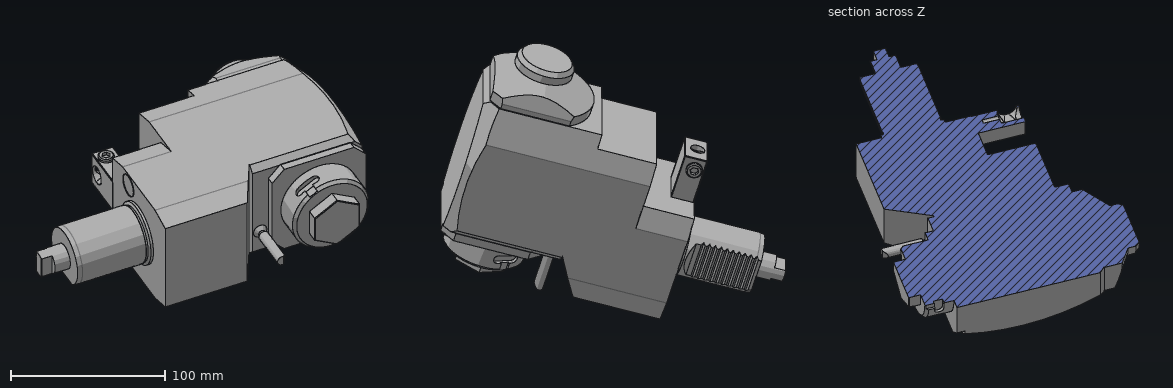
import cadquery as cq
import math


HEX_SIDES = 6

HALF_HEIGHT = 37.5
SIDE_SLOPE = math.tan(math.radians(15))
BACK_Y = 153.8
SPINDLE_Y = 120.0
HEAD_LEFT, HEAD_RIGHT = -81.5, 14.5
HEAD_FRONT_Y = 74.8
HEAD_SLOPE_X = -56.8
HEAD_EDGE_CHAMFER = 4.2
HEAD_CORNER_CHAMFER = 4.0
MIDDLE_LEFT = -72.0
MIDDLE_FRONT_Y = 35.0
FOOT_HALF_WIDTH = 39.2
FOOT_SLOPE_X = 24.0
SHOULDER_LEFT_X, SHOULDER_RIGHT_Y = 9.5, 59.0
CROWN_X = -23.6
CROWN_RADIUS = 134.0
CROWN_EDGE_Z = 33.4
CROWN_DEPTH = 40.0

HUB_RADIUS = 38.0
HUB_FLAT_Z = 30.0
HUB_SLOPE_X = -85.0
HUB_BASE_X = -88.4
HUB_TIP_X = -101.2
HUB_BACK_Y = 150.4
HUB_CORNER_CHAMFER = 7.3
CAP_RADIUS = 19.3
CAP_END_X = -109.7
CAP_CHAMFER_LENGTH, CAP_CHAMFER_DEPTH = 3.1, 2.4

FLANGE_RIGHT = 20.1
FLANGE_HALF = BACK_Y - SPINDLE_Y
FLANGE_CHAMFER = 8.7
COLLAR_RIGHT, COLLAR_RADIUS, COLLAR_CHAMFER = 39.2, 27.5, 2.1
SLOT_X, SLOT_WIDTH, SLOT_LENGTH, SLOT_DEPTH = 29.8, 6.0, 18.4, 3.5
SLOT_COUNT = 3
CHANNEL_WIDTH, CHANNEL_DEPTH = 6.3, 1.6
NUT_RIGHT, NUT_FLATS, NUT_CHAMFER = 47.3, 32.4, 0.5

PIN_Y, PIN_Z, PIN_RADIUS = 80.3, -17.6, 3.5
PIN_NECK_RADIUS, PIN_ROOT_RADIUS = 2.3, 4.8
PIN_CONE_END_X, PIN_BODY_X = 17.0, 19.6
PIN_BEVEL_LENGTH, PIN_BEVEL_DEPTH = 3.2, 2.6

SEAT_RADIUS, SEAT_LENGTH = 21.7, 1.8
RELIEF_RADIUS, RELIEF_START, RELIEF_END = 19.6, 2.8, 4.2
SHANK_RADIUS, SHANK_LENGTH = 20.0, 53.5
SHANK_TAPER_LENGTH, SHANK_TAPER_DEPTH = 3.3, 0.5
RACK_Z = -16.0
RACK_RUNOUT_Y = -9.4
TOOTH_PITCH, TOOTH_DEPTH, TOOTH_GAP_HALF = 4.0, 1.2, 1.3
FIRST_GAP_Y, TOOTH_GAPS = -14.0, 10
SPIGOT_RADIUS, SPIGOT_END_Y = 8.7, -64.5
TANG_WIDTH, TANG_END_Y, TANG_CHAMFER = 8.5, -72.2, 0.5

PLUG_X, PLUG_Z, PLUG_RADIUS, PLUG_DEPTH = -16.0, 27.8, 7.8, 0.5

BLOCK_LEFT, BLOCK_HALF_HEIGHT = -71.4, 12.6
BLOCK_FRONT_Y, BLOCK_BACK_Y, BLOCK_CHAMFER = 0.5, 15.9, 0.5
NOZZLE_X, NOZZLE_Y = -63.1, 7.1
BORE_RADIUS, BORE_DEPTH, BORE_FLOOR_HALF = 6.4, 11.5, 4.6
SIDE_BORE_RADIUS, SIDE_BORE_END_X = 4.7, -56.0
FEED_RADIUS, FEED_END_X = 1.3, -45.0
SCREW_RADIUS, SCREW_HEIGHT, SCREW_CHAMFER = 5.3, 2.3, 0.8
SOCKET_FLATS, SOCKET_DEPTH = 5.0, 3.0


def prism_along_y(points, y_start, y_end):
    """Prism with an XZ outline between two Y planes."""
    plane = cq.Workplane("XZ", origin=(0, y_start, 0))
    return plane.polyline(points).close().extrude(y_start - y_end)


def turned_about_y(points, x=0.0, z=0.0):
    """Solid of revolution from (radius, y) points, about a line parallel to Y."""
    profile = cq.Workplane("XY", origin=(x, 0, z)).polyline(points).close()
    return profile.revolve(360, (0, 0, 0), (0, 1, 0))


def turned_about_x(points, y, z=0.0):
    """Solid of revolution from (x, radius) points, about a line parallel to X."""
    profile = cq.Workplane("XY", origin=(0, y, z)).polyline(points).close()
    return profile.revolve(360, (0, 0, 0), (1, 0, 0))


def rod_along_x(x_start, x_end, radius, y):
    """Round rod parallel to X, at mid height."""
    plane = cq.Workplane("YZ", origin=(x_start, y, 0))
    return plane.circle(radius).extrude(x_end - x_start)


def mirrored_outline(upper):
    """Close an outline by mirroring its upper points (left to right) in Z."""
    return upper + [(x, -z) for x, z in reversed(upper)]


def flank_z(run):
    """Height of a sloped flank at a distance from the start of its slope."""
    return HALF_HEIGHT - run * SIDE_SLOPE


def housing_head():
    upper = [
        (HEAD_LEFT, flank_z(HEAD_SLOPE_X - HEAD_LEFT)),
        (HEAD_SLOPE_X, HALF_HEIGHT),
        (HEAD_RIGHT - HEAD_EDGE_CHAMFER, HALF_HEIGHT),
        (HEAD_RIGHT, HALF_HEIGHT - HEAD_EDGE_CHAMFER),
    ]
    head = prism_along_y(mirrored_outline(upper), HEAD_FRONT_Y, BACK_Y)
    head = head.edges("|Z and <X and >Y").chamfer(HEAD_CORNER_CHAMFER)

    cone = [
        (0, BACK_Y),
        (CROWN_RADIUS, BACK_Y),
        (CROWN_RADIUS + CROWN_DEPTH, BACK_Y - CROWN_DEPTH),
        (CROWN_RADIUS + CROWN_DEPTH, HEAD_FRONT_Y),
        (0, HEAD_FRONT_Y),
    ]
    for side in (-1, 1):
        centre_z = side * (CROWN_RADIUS - CROWN_EDGE_Z)
        head = head.intersect(turned_about_y(cone, CROWN_X, centre_z))
    return head


def housing_middle():
    right = (FOOT_HALF_WIDTH, flank_z(FOOT_HALF_WIDTH - FOOT_SLOPE_X))
    upper = [
        (MIDDLE_LEFT, flank_z(HEAD_SLOPE_X - MIDDLE_LEFT)),
        (HEAD_SLOPE_X, HALF_HEIGHT),
        (FOOT_SLOPE_X, HALF_HEIGHT),
        right,
    ]
    middle = prism_along_y(mirrored_outline(upper), MIDDLE_FRONT_Y, HEAD_FRONT_Y)
    shoulder = (
        cq.Workplane("XY", origin=(0, 0, -HALF_HEIGHT))
        .moveTo(SHOULDER_LEFT_X, HEAD_FRONT_Y)
        .lineTo(FOOT_HALF_WIDTH, HEAD_FRONT_Y)
        .lineTo(FOOT_HALF_WIDTH, SHOULDER_RIGHT_Y)
        .close()
        .extrude(2 * HALF_HEIGHT)
    )
    return middle.cut(shoulder)


def housing_foot():
    edge_z = flank_z(FOOT_HALF_WIDTH - FOOT_SLOPE_X)
    upper = [
        (-FOOT_HALF_WIDTH, edge_z),
        (-FOOT_SLOPE_X, HALF_HEIGHT),
        (FOOT_SLOPE_X, HALF_HEIGHT),
        (FOOT_HALF_WIDTH, edge_z),
    ]
    foot = prism_along_y(mirrored_outline(upper), 0, MIDDLE_FRONT_Y)
    plug = cq.Workplane("XZ", origin=(PLUG_X, 0, PLUG_Z)).circle(PLUG_RADIUS).extrude(-PLUG_DEPTH)
    return foot.cut(plug)


def hub_and_cap():
    hub = turned_about_x(
        [
            (HEAD_LEFT, 0),
            (HEAD_LEFT, HUB_RADIUS),
            (HUB_BASE_X, HUB_RADIUS),
            (HUB_TIP_X, CAP_RADIUS),
            (HUB_TIP_X, 0),
        ],
        SPINDLE_Y,
    )
    tip_flat_z = HUB_FLAT_Z - (HUB_SLOPE_X - HUB_TIP_X) * SIDE_SLOPE
    upper = [(HUB_TIP_X, tip_flat_z), (HUB_SLOPE_X, HUB_FLAT_Z), (HEAD_LEFT, HUB_FLAT_Z)]
    flats = prism_along_y(mirrored_outline(upper), SPINDLE_Y - HUB_RADIUS, HUB_BACK_Y)
    corner_z = HUB_FLAT_Z - HUB_CORNER_CHAMFER
    corner_y = HUB_BACK_Y - HUB_CORNER_CHAMFER
    rear = (
        cq.Workplane("YZ", origin=(HUB_TIP_X, 0, 0))
        .moveTo(SPINDLE_Y - HUB_RADIUS, -HUB_FLAT_Z)
        .lineTo(corner_y, -HUB_FLAT_Z)
        .lineTo(HUB_BACK_Y, -corner_z)
        .lineTo(HUB_BACK_Y, corner_z)
        .lineTo(corner_y, HUB_FLAT_Z)
        .lineTo(SPINDLE_Y - HUB_RADIUS, HUB_FLAT_Z)
        .close()
        .extrude(HEAD_LEFT - HUB_TIP_X)
    )
    cap = turned_about_x(
        [
            (HUB_TIP_X, 0),
            (HUB_TIP_X, CAP_RADIUS),
            (CAP_END_X + CAP_CHAMFER_LENGTH, CAP_RADIUS),
            (CAP_END_X, CAP_RADIUS - CAP_CHAMFER_DEPTH),
            (CAP_END_X, 0),
        ],
        SPINDLE_Y,
    )
    return hub.intersect(flats).intersect(rear).union(cap)


def collar_slot():
    """Round-ended slot and its channel to the end face, at the +Z side of the collar."""
    slot = (
        cq.Workplane("XY", origin=(SLOT_X, SPINDLE_Y, COLLAR_RADIUS - SLOT_DEPTH))
        .slot2D(SLOT_LENGTH, SLOT_WIDTH, 90)
        .extrude(2 * SLOT_DEPTH)
    )
    channel = (
        cq.Workplane("XY", origin=(SLOT_X, SPINDLE_Y, COLLAR_RADIUS))
        .box(COLLAR_RIGHT - SLOT_X, CHANNEL_WIDTH, 2 * CHANNEL_DEPTH, centered=(False, True, True))
    )
    return slot.union(channel)


def collar_and_nut():
    flange = (
        cq.Workplane("YZ", origin=(HEAD_RIGHT, SPINDLE_Y, 0))
        .rect(2 * FLANGE_HALF, 2 * FLANGE_HALF)
        .extrude(FLANGE_RIGHT - HEAD_RIGHT)
        .edges("|X")
        .chamfer(FLANGE_CHAMFER)
    )
    collar = rod_along_x(FLANGE_RIGHT, COLLAR_RIGHT, COLLAR_RADIUS, SPINDLE_Y)
    collar = collar.faces(">X").edges().chamfer(COLLAR_CHAMFER)
    axis_start = (0, SPINDLE_Y, 0)
    axis_end = (1, SPINDLE_Y, 0)
    quarter_turn = 90
    for index in range(SLOT_COUNT):
        angle = index * 360 / SLOT_COUNT - quarter_turn
        collar = collar.cut(collar_slot().rotate(axis_start, axis_end, angle))
    nut = (
        cq.Workplane("YZ", origin=(COLLAR_RIGHT, SPINDLE_Y, 0))
        .polygon(HEX_SIDES, NUT_FLATS, circumscribed=True)
        .extrude(NUT_RIGHT - COLLAR_RIGHT)
        .faces(">X")
        .chamfer(NUT_CHAMFER)
    )
    return flange.union(collar).union(nut)


def locating_pin():
    pin = turned_about_x(
        [
            (HEAD_RIGHT, 0),
            (HEAD_RIGHT, PIN_ROOT_RADIUS),
            (PIN_CONE_END_X, PIN_NECK_RADIUS),
            (PIN_BODY_X, PIN_NECK_RADIUS),
            (PIN_BODY_X, PIN_RADIUS),
            (NUT_RIGHT, PIN_RADIUS),
            (NUT_RIGHT, 0),
        ],
        PIN_Y,
        PIN_Z,
    )
    back_y = PIN_Y + PIN_RADIUS
    bevel = (
        cq.Workplane("XY", origin=(0, 0, PIN_Z - PIN_RADIUS))
        .moveTo(NUT_RIGHT - PIN_BEVEL_LENGTH, back_y)
        .lineTo(NUT_RIGHT, back_y)
        .lineTo(NUT_RIGHT, back_y - PIN_BEVEL_DEPTH)
        .close()
        .extrude(2 * PIN_RADIUS)
    )
    return pin.cut(bevel)


def shank():
    body = turned_about_y(
        [
            (0, 0),
            (SEAT_RADIUS, 0),
            (SEAT_RADIUS, -SEAT_LENGTH),
            (RELIEF_RADIUS, -RELIEF_START),
            (RELIEF_RADIUS, -RELIEF_END),
            (SHANK_RADIUS, -RELIEF_END),
            (SHANK_RADIUS, SHANK_TAPER_LENGTH - SHANK_LENGTH),
            (SHANK_RADIUS - SHANK_TAPER_DEPTH, -SHANK_LENGTH),
            (0, -SHANK_LENGTH),
        ]
    )
    runout = SEAT_RADIUS + RACK_Z
    flat = (
        cq.Workplane("YZ", origin=(-SHANK_RADIUS, 0, 0))
        .moveTo(-SHANK_LENGTH, RACK_Z)
        .lineTo(RACK_RUNOUT_Y, RACK_Z)
        .lineTo(RACK_RUNOUT_Y + runout, RACK_Z - runout)
        .lineTo(-SHANK_LENGTH, RACK_Z - runout)
        .close()
        .extrude(2 * SHANK_RADIUS)
    )
    body = body.cut(flat)
    for index in range(TOOTH_GAPS):
        gap_y = FIRST_GAP_Y - index * TOOTH_PITCH
        gap = (
            cq.Workplane("YZ", origin=(-SHANK_RADIUS, gap_y, RACK_Z))
            .polyline([(-TOOTH_GAP_HALF, 0), (0, TOOTH_DEPTH), (TOOTH_GAP_HALF, 0)])
            .close()
            .extrude(2 * SHANK_RADIUS)
        )
        body = body.cut(gap)
    return body


def drive_tang():
    spigot = cq.Workplane("XZ", origin=(0, -SHANK_LENGTH, 0)).circle(SPIGOT_RADIUS)
    spigot = spigot.extrude(-SHANK_LENGTH - TANG_END_Y)
    for side in (-1, 1):
        cheek_center_x = side * (TANG_WIDTH / 2 + SPIGOT_RADIUS)
        cheek = cq.Workplane("XZ", origin=(cheek_center_x, SPIGOT_END_Y, 0))
        cheek = cheek.rect(2 * SPIGOT_RADIUS, 2 * SPIGOT_RADIUS).extrude(SPIGOT_END_Y - TANG_END_Y)
        spigot = spigot.cut(cheek)
    return spigot.faces("<Y").edges("|Z").chamfer(TANG_CHAMFER)


def set_screw():
    """Socket screw head standing on the top of the nozzle block."""
    return (
        cq.Workplane("XY", origin=(NOZZLE_X, NOZZLE_Y, BLOCK_HALF_HEIGHT))
        .circle(SCREW_RADIUS)
        .extrude(SCREW_HEIGHT)
        .faces(">Z")
        .edges()
        .chamfer(SCREW_CHAMFER)
        .faces(">Z")
        .workplane()
        .polygon(HEX_SIDES, SOCKET_FLATS, circumscribed=True)
        .cutBlind(-SOCKET_DEPTH)
    )


def nozzle_block():
    block = (
        cq.Workplane("XY")
        .box(
            -FOOT_HALF_WIDTH - BLOCK_LEFT,
            BLOCK_BACK_Y - BLOCK_FRONT_Y,
            2 * BLOCK_HALF_HEIGHT,
            centered=(False, False, True),
        )
        .translate((BLOCK_LEFT, BLOCK_FRONT_Y, 0))
        .edges("|X or <X")
        .chamfer(BLOCK_CHAMFER)
    )
    bore = (
        cq.Workplane("XZ", origin=(NOZZLE_X, BLOCK_FRONT_Y, 0))
        .circle(BORE_RADIUS)
        .extrude(-BORE_DEPTH)
    )
    floor_y = BLOCK_FRONT_Y + BORE_DEPTH
    wedge = (
        cq.Workplane("YZ", origin=(NOZZLE_X - BORE_RADIUS, 0, 0))
        .moveTo(BLOCK_FRONT_Y, BORE_RADIUS)
        .lineTo(floor_y, BORE_FLOOR_HALF)
        .lineTo(floor_y, -BORE_FLOOR_HALF)
        .lineTo(BLOCK_FRONT_Y, -BORE_RADIUS)
        .close()
        .extrude(2 * BORE_RADIUS)
    )
    block = block.cut(bore.intersect(wedge))
    block = block.cut(rod_along_x(BLOCK_LEFT, SIDE_BORE_END_X, SIDE_BORE_RADIUS, NOZZLE_Y))
    block = block.cut(rod_along_x(SIDE_BORE_END_X, FEED_END_X, FEED_RADIUS, NOZZLE_Y))
    screw = set_screw()
    return block.union(screw).union(screw.mirror("XY"))


result = (
    housing_head()
    .union(housing_middle())
    .union(housing_foot())
    .union(hub_and_cap())
    .union(collar_and_nut())
    .union(locating_pin())
    .union(shank())
    .union(drive_tang())
    .union(nozzle_block())
)